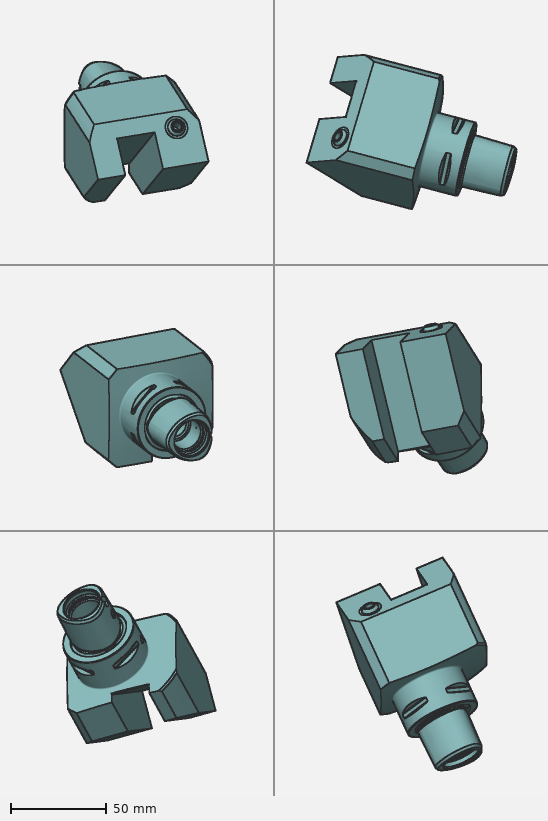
import cadquery as cq
import math


tip_x = 80.0
tip_z = 5.0
block_top = 26.0
block_bottom = -30.0
block_left = 26.0
block_right = -35.0
left_chamfer = 5.0
turned_radius = 40.0
turned_chamfer = 0.9
back_slope = 0.1

slot_left = 0.8
slot_right = -20.0
slot_depth = 20.3
slot_flat_z = -23.8

collar_radius = 20.0
collar_length = 20.2
collar_chamfer = 0.3
root_radius = 0.8

groove_x = 8.1
groove_floor_radius = 17.6
groove_floor_width = 2.2
groove_step_width = 2.8
groove_step_depth = 0.2
groove_side_angle = 30.0
groove_count = 4

dimple_x = 12.0
dimple_diameter = 4.0
dimple_depth = 2.6

shank_length = 24.0
shank_mean_radius = 14.0
lobe_height = 0.88
lobe_arc_radius = 8.4
lobe_count = 3
taper_per_length = 0.025
shank_edge_length = 1.7
shank_edge_inset = 0.8
relief_start = 1.6
relief_end = 0.5
relief_inset = 0.6

undercut_radius = 15.8
undercut_neck_radius = 13.8
undercut_depth = 1.6

mouth_radius = 10.4
mouth_depth = 0.8
entry_radius = 10.0
entry_depth = 3.4
land_radius = 9.0
land_start = 4.0
land_end = 4.4
clamp_groove_radius = 9.4
clamp_groove_start = 5.4
clamp_groove_end = 6.3
bore_radius = 8.4
bore_start = 6.9
bore_depth = 18.7
step_mouth_radius = 7.2
step_radius = 6.2
step_depth = 29.1
drill_radius = 4.3
drill_depth = 37.4
drill_half_angle = 59.0

keyway_diameter = 5.0
keyway_axis_y = -13.5
keyway_length = 4.5
keyway_half_angle = 45.0
side_hole_x = -11.3
side_hole_diameter = 4.6
side_hole_depth = 2.9
side_hole_chamfer = 0.3
sink_half_angle = 45.0

nozzle_x = 65.2
nozzle_y = 13.0
ring_diameter = 12.0
ring_depth = 4.2
ball_diameter = 10.0
ball_end_diameter = 6.5
ball_protrusion = 2.0
ball_bore_diameter = 4.6

lobe_angle = 360 / lobe_count
upper_slope_sum = tip_x + tip_z
lower_slope_gap = tip_x - tip_z
slot_floor_gap = lower_slope_gap - slot_depth * math.sqrt(2)
shank_flat_y = -(shank_mean_radius - lobe_height)
margin = 5.2

nozzle_plane = cq.Plane(
    origin=(nozzle_x, nozzle_y, upper_slope_sum - nozzle_x),
    xDir=(0, 1, 0),
    normal=(1, 0, 1),
)


def turned(profile):
    """Revolve a profile drawn as (x, radius) about the shank axis."""
    return profile.close().revolve(360, (0, 0, 0), (1, 0, 0))


def pointed_hole(plane, diameter, depth, half_angle):
    """Blind hole with a conical end, going along the normal of the plane."""
    radius = diameter / 2
    point = radius / math.tan(math.radians(half_angle))
    return (
        cq.Workplane("XZ")
        .polyline([(0, -margin), (radius, -margin), (radius, depth), (0, depth + point)])
        .close()
        .revolve(360, (0, 0, 0), (0, 1, 0))
        .val()
        .moved(cq.Location(plane))
    )


def make_block():
    width = block_left - block_right
    block = (
        cq.Workplane("XY")
        .box(tip_x, width, block_top - block_bottom, centered=False)
        .translate((0, block_right, block_bottom))
        .edges("|X and >Y")
        .chamfer(left_chamfer)
    )

    wedge = (
        cq.Workplane("XZ", origin=(0, block_left, 0))
        .polyline([
            (0, block_top),
            (upper_slope_sum - block_top, block_top),
            (tip_x, tip_z),
            (lower_slope_gap + block_bottom, block_bottom),
            (0, block_bottom),
        ])
        .close()
        .extrude(width)
    )

    cone_start = collar_length + root_radius
    cone_radius = collar_radius + root_radius
    rim_radius = turned_radius - turned_chamfer
    rim_x = cone_start + back_slope * (rim_radius - cone_radius)
    envelope = turned(
        cq.Workplane("XY")
        .moveTo(cone_start, 0)
        .lineTo(cone_start, cone_radius)
        .lineTo(rim_x, rim_radius)
        .lineTo(rim_x + turned_chamfer, turned_radius)
        .lineTo(tip_x, turned_radius)
        .lineTo(tip_x, 0)
    )

    slot_end = tip_x + margin
    slot = (
        cq.Workplane("XZ", origin=(0, slot_left, 0))
        .polyline([
            (0, slot_flat_z),
            (slot_flat_z + slot_floor_gap, slot_flat_z),
            (slot_end, slot_end - slot_floor_gap),
            (slot_end, block_bottom - margin),
            (0, block_bottom - margin),
        ])
        .close()
        .extrude(slot_left - slot_right)
    )
    return block.intersect(wedge).intersect(envelope).cut(slot)


def make_collar():
    root_start = collar_length
    root_end = collar_length + root_radius
    mid = root_radius * math.sqrt(0.5)
    collar = turned(
        cq.Workplane("XY")
        .lineTo(0, collar_radius - collar_chamfer)
        .lineTo(collar_chamfer, collar_radius)
        .lineTo(root_start, collar_radius)
        .threePointArc(
            (root_start + mid, collar_radius + root_radius - mid),
            (root_end, collar_radius + root_radius),
        )
        .lineTo(root_end, 0)
    )

    blend = math.sqrt(0.5)
    undercut_width = undercut_radius - undercut_neck_radius
    undercut = turned(
        cq.Workplane("XY")
        .moveTo(0, undercut_neck_radius)
        .threePointArc(
            (undercut_depth * blend, undercut_radius - undercut_width * blend),
            (undercut_depth, undercut_radius),
        )
        .lineTo(0, undercut_radius)
    )
    collar = collar.cut(undercut)

    depth = collar_radius - groove_floor_radius + margin
    floor_half = groove_floor_width / 2
    step_half = groove_step_width / 2
    mouth_half = step_half + (depth - groove_step_depth) * math.tan(math.radians(groove_side_angle))
    groove = (
        cq.Workplane("XZ", origin=(groove_x, collar_radius, groove_floor_radius))
        .polyline([
            (-floor_half, 0),
            (floor_half, 0),
            (step_half, groove_step_depth),
            (mouth_half, depth),
            (-mouth_half, depth),
            (-step_half, groove_step_depth),
        ])
        .close()
        .extrude(2 * collar_radius)
    )
    pitch = 360 / groove_count
    for index in range(groove_count):
        collar = collar.cut(groove.rotate((0, 0, 0), (1, 0, 0), pitch * (index + 0.5)))

    dimple_plane = cq.Plane(origin=(dimple_x, -collar_radius, 0), xDir=(1, 0, 0), normal=(0, 1, 0))
    return collar.cut(
        cq.Workplane(pointed_hole(dimple_plane, dimple_diameter, dimple_depth, drill_half_angle))
    )


def shank_outline(x, inset):
    """Three lobes joined by three flatter arcs, all tangent, with one lobe toward +Y."""
    gap = shank_mean_radius - lobe_height - lobe_arc_radius
    lobe_centre = gap + 2 * lobe_height
    flat_centre = (lobe_centre ** 2 - gap ** 2) / (2 * gap - lobe_centre)
    lobe_radius = lobe_arc_radius - inset
    flat_radius = shank_mean_radius - lobe_height + flat_centre - inset

    half = math.radians(lobe_angle / 2)
    blend_angle = math.atan2(
        flat_centre * math.sin(half),
        lobe_centre + flat_centre * math.cos(half),
    )

    def lobe_point(lobe, offset):
        direction = math.radians(lobe_angle * lobe)
        return (
            lobe_centre * math.cos(direction) + lobe_radius * math.cos(direction + offset),
            lobe_centre * math.sin(direction) + lobe_radius * math.sin(direction + offset),
        )

    def flat_point(lobe):
        direction = math.radians(lobe_angle * (lobe + 0.5))
        reach = flat_radius - flat_centre
        return (reach * math.cos(direction), reach * math.sin(direction))

    outline = cq.Workplane("YZ", origin=(x, 0, 0)).moveTo(*lobe_point(0, -blend_angle))
    for lobe in range(lobe_count):
        outline = outline.threePointArc(lobe_point(lobe, 0), lobe_point(lobe, blend_angle))
        outline = outline.threePointArc(flat_point(lobe), lobe_point(lobe + 1, -blend_angle))
    return outline.close().val()


def make_shank():
    end_x = -shank_length
    edge_x = end_x + shank_edge_length
    edge_inset = taper_per_length * -edge_x
    sections = [
        (end_x, edge_inset + shank_edge_inset),
        (edge_x, edge_inset),
        (-relief_start, 0),
        (-relief_end, relief_inset),
        (undercut_depth, relief_inset),
    ]
    wires = [shank_outline(x, inset) for x, inset in sections]
    shank = cq.Workplane(cq.Solid.makeLoft(wires, True))

    keyway_plane = cq.Plane(origin=(end_x, keyway_axis_y, 0), xDir=(0, 1, 0), normal=(1, 0, 0))
    keyway = pointed_hole(keyway_plane, keyway_diameter, keyway_length, keyway_half_angle)
    shank = shank.cut(cq.Workplane(keyway))

    surface_y = shank_flat_y - taper_per_length * side_hole_x
    side_plane = cq.Plane(origin=(side_hole_x, surface_y, 0), xDir=(1, 0, 0), normal=(0, 1, 0))
    hole = pointed_hole(side_plane, side_hole_diameter, side_hole_depth, drill_half_angle)
    sink_diameter = side_hole_diameter + 2 * side_hole_chamfer
    sink = pointed_hole(side_plane, sink_diameter, 0, sink_half_angle)
    return shank.cut(cq.Workplane(hole)).cut(cq.Workplane(sink))


def make_bore():
    tip_slope = 1 / math.tan(math.radians(drill_half_angle))
    step_chamfer = step_mouth_radius - step_radius
    profile = [
        (0, 0),
        (0, mouth_radius),
        (mouth_depth, entry_radius),
        (entry_depth, entry_radius),
        (land_start, land_radius),
        (land_end, land_radius),
        (clamp_groove_start, clamp_groove_radius),
        (clamp_groove_end, clamp_groove_radius),
        (bore_start, bore_radius),
        (bore_depth, bore_radius),
        (bore_depth, step_mouth_radius),
        (bore_depth + step_chamfer, step_radius),
        (step_depth, step_radius),
        (step_depth + (step_radius - drill_radius) * tip_slope, drill_radius),
        (drill_depth, drill_radius),
        (drill_depth + drill_radius * tip_slope, 0),
    ]
    return turned(cq.Workplane("XY").polyline(profile)).translate((-shank_length, 0, 0))


def make_ball_blank():
    """Ball sunk so that its flat end has the wanted size and protrusion."""
    radius = ball_diameter / 2
    centre_depth = math.sqrt(radius ** 2 - (ball_end_diameter / 2) ** 2) - ball_protrusion
    return cq.Workplane(nozzle_plane).workplane(offset=-centre_depth).sphere(radius)


def make_ring_blank():
    return cq.Workplane(nozzle_plane).circle(ring_diameter / 2).extrude(-ring_depth)


def make_housing():
    housing = make_block().union(make_collar()).union(make_shank()).cut(make_bore())
    return housing.cut(make_ring_blank()).cut(make_ball_blank())


def make_seat_ring():
    return make_ring_blank().cut(make_ball_blank())


def make_ball_nozzle():
    flat_cut = (
        cq.Workplane(nozzle_plane)
        .workplane(offset=ball_protrusion)
        .circle(ball_diameter)
        .extrude(ball_diameter)
    )
    coolant_bore = (
        cq.Workplane(nozzle_plane)
        .circle(ball_bore_diameter / 2)
        .extrude(ball_diameter, both=True)
    )
    return make_ball_blank().cut(flat_cut).cut(coolant_bore)


housing = make_housing()
seat_ring = make_seat_ring()
ball_nozzle = make_ball_nozzle()

result = cq.Compound.makeCompound([housing.val(), seat_ring.val(), ball_nozzle.val()])